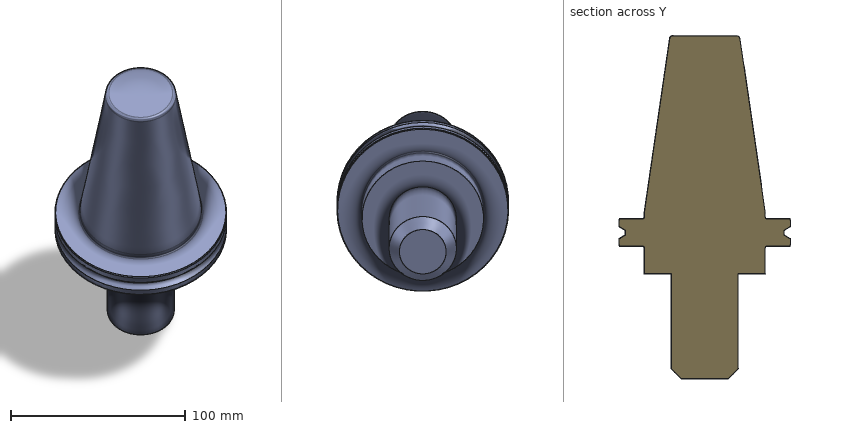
import cadquery as cq

total_height = 196.8
gauge_height = 95.0
gauge_radius = 34.8
taper_slope = 7 / 48
taper_tip_fillet = 2.0

flange_radius = 49.2
flange_top = 92.0
flange_thickness = 16.0
flange_edge_height = 0.8
flange_edge_setback = 0.4
flange_root_fillet = 0.8

groove_floor_radius = 45.7
groove_center = 83.9
groove_floor_width = 2.5
groove_mouth_width = 6.9

boss_bottom = 60.2
shank_radius = 19.3
shank_chamfer = 6.0

flange_bottom = flange_top - flange_thickness
taper_tip_radius = gauge_radius - taper_slope * (total_height - gauge_height)


def revolve_profile(points):
    """Revolve a closed (radius, height) outline around the Z axis."""
    return (
        cq.Workplane("XZ")
        .polyline(points)
        .close()
        .revolve(360, (0, 0, 0), (0, 1, 0))
    )


def make_taper():
    """Taper cone with a rounded tip and a short cylinder down to the flange."""
    cone = revolve_profile([
        (0, flange_top),
        (gauge_radius, flange_top),
        (gauge_radius, gauge_height),
        (taper_tip_radius, total_height),
        (0, total_height),
    ])
    return cone.faces(">Z").edges().fillet(taper_tip_fillet)


def make_flange():
    """Gripper flange with chamfered outer rims."""
    return (
        cq.Workplane("XY", origin=(0, 0, flange_bottom))
        .circle(flange_radius)
        .extrude(flange_thickness)
        .faces("<Z or >Z")
        .edges()
        .chamfer(flange_edge_height, flange_edge_setback)
    )


def make_groove():
    """Ring to remove from the flange: a V groove with a flat floor."""
    return revolve_profile([
        (groove_floor_radius, groove_center - groove_floor_width / 2),
        (flange_radius, groove_center - groove_mouth_width / 2),
        (flange_radius, groove_center + groove_mouth_width / 2),
        (groove_floor_radius, groove_center + groove_floor_width / 2),
    ])


def make_boss():
    """Cylindrical boss below the flange."""
    return (
        cq.Workplane("XY", origin=(0, 0, boss_bottom))
        .circle(gauge_radius)
        .extrude(flange_bottom - boss_bottom)
    )


def make_shank():
    """Straight shank with a 45 degree chamfer at its tip."""
    return (
        cq.Workplane("XY")
        .circle(shank_radius)
        .extrude(boss_bottom)
        .faces("<Z")
        .chamfer(shank_chamfer)
    )


def make_root_fillet(root_height, direction):
    """Concave ring between a flange face and the cylinder beside it.

    direction is +1 for the upper flange face and -1 for the lower one.
    """
    cylinder_tangent = (gauge_radius, root_height + direction * flange_root_fillet)
    flange_tangent = (gauge_radius + flange_root_fillet, root_height)
    mid_offset = flange_root_fillet * (1 - 0.5 ** 0.5)
    arc_middle = (gauge_radius + mid_offset, root_height + direction * mid_offset)
    return (
        cq.Workplane("XZ")
        .moveTo(gauge_radius, root_height)
        .lineTo(*flange_tangent)
        .threePointArc(arc_middle, cylinder_tangent)
        .close()
        .revolve(360, (0, 0, 0), (0, 1, 0))
    )


result = make_flange().cut(make_groove())
result = result.union(make_taper()).union(make_boss()).union(make_shank())
for root_height, direction in ((flange_top, 1), (flange_bottom, -1)):
    result = result.union(make_root_fillet(root_height, direction))